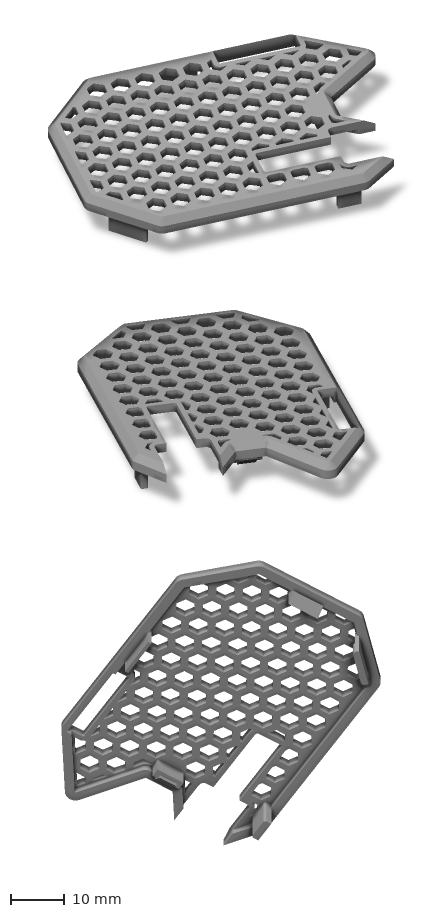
import cadquery as cq
import math


width = 45.0
length = 64.99
half_width = width / 2
total_height = 7.85
cover_height = 3.1
plate_thickness = 1.85
plate_bottom = cover_height - plate_thickness
rim_width = 1.85
top_chamfer = 1.3
corner_radius = 2.0

bevel = 11.2
ear_x = 12.28
ear_half_angle = math.radians(35)
ear_tip_y = length - corner_radius + corner_radius / math.sin(ear_half_angle)
shoulder_y = ear_tip_y - (half_width - ear_x) / math.tan(ear_half_angle)
notch_y = 53.2
notch_half_width = ear_x - (ear_tip_y - notch_y) * math.tan(ear_half_angle)

overshoot = 1.0
web = 1.0
ear_slot_width = 10.9
ear_slot_bottom = 49.05
ear_slot_radius = 1.0
cable_slot_width = 5.8
cable_slot_bottom = 34.0
cable_slot_radius = 0.6
window_left = -half_width + top_chamfer
window_right = -17.4
window_bottom = 35.95
window_top = 52.15
window_radius = 0.3

hex_diameter = 4.0
hex_origin_x = 0.07
hex_pitch_x = 4.37
hex_pitch_y = 4.74
hex_origin_y = 26.12
hex_rows = {
    -4: (-3, 6),
    -3: (-4.5, 7.5),
    -2: (-5, 7),
    -1: (-4.5, 5.5),
    0: (-5, 4),
    1: (-4.5, 5.5),
    2: (-5, 4),
    3: (-4.5, 1.5),
    4: (-3, 5),
}

post_bottom = cover_height - total_height
step_depth = 1.9
hook_depth = 2.75
hook_catch_depth = 0.95
hook_catch = 0.55
hook_thickness = 1.4
bottom_hook_y = 1.6
bottom_hook_width = 6.5
notch_hook_y = notch_y - 1.75
notch_hook_width = 3.6
notch_block_width = 5.8
notch_block_y = (49.2, 50.9)
tab_x = -20.7
tab_thickness = 0.7
tab_y = (24.45, 32.55)
tab_depth = 2.95
ear_post_x = (19.2, 20.7)
ear_post_y = (46.7, 51.25)
ear_post_radius = 0.5
bevel_angle = 45.0
bevel_post_center = (15.35, 7.2)
bevel_post_length = 7.9
bevel_post_thickness = 1.3
bevel_post_radius = 0.65
bevel_recess_length = 2.2
bevel_recess_depth = 0.45


def outline():
    """Mirror-symmetric outline with sharp corners."""
    right_side = [
        (half_width - bevel, 0),
        (half_width, bevel),
        (half_width, shoulder_y),
        (ear_x, ear_tip_y),
        (notch_half_width, notch_y),
    ]
    left_side = [(-x, y) for x, y in reversed(right_side)]
    return cq.Workplane("XY").polyline(right_side + left_side).close()


def box(x_range, y_range, z_range):
    """Box between the given limits."""
    (x0, x1), (y0, y1), (z0, z1) = x_range, y_range, z_range
    return cq.Workplane("XY").box(x1 - x0, y1 - y0, z1 - z0, centered=False).translate((x0, y0, z0))


def solid_cover():
    """Full-height outline, rounded at the outer corners and chamfered around the top."""
    body = outline().extrude(cover_height)
    notch_corners = cq.selectors.BoxSelector(
        (-ear_x / 2, notch_y - overshoot, -overshoot),
        (ear_x / 2, notch_y + overshoot, cover_height + overshoot),
    )
    outer_corners = body.edges("|Z").edges(-notch_corners)
    return outer_corners.fillet(corner_radius).faces(">Z").edges().chamfer(top_chamfer)


def inset_outline(distance, height):
    """Prism of the outline moved inwards."""
    return outline().offset2D(-distance, "arc").extrude(height)


def openings(margin):
    """Ear slot, cable slot and window, grown by a margin on every side."""
    z_range = (-overshoot, cover_height + overshoot)
    ear_half = ear_slot_width / 2 + margin
    ear_slot = box(
        (ear_x - ear_half, ear_x + ear_half),
        (ear_slot_bottom - margin, length + overshoot),
        z_range,
    ).edges("|Z and <Y").fillet(ear_slot_radius + margin)
    cable_half = cable_slot_width / 2 + margin
    cable_slot = box(
        (ear_x - cable_half, ear_x + cable_half),
        (cable_slot_bottom - margin, ear_slot_bottom + overshoot),
        z_range,
    ).edges("|Z and <Y").fillet(cable_slot_radius + margin)
    window = box(
        (window_left - margin, window_right + margin),
        (window_bottom - margin, window_top + margin),
        z_range,
    ).edges("|Z and >X").fillet(window_radius + margin)
    return ear_slot.union(cable_slot).union(window)


def grille():
    """Hexagon prisms trimmed to the area inside the solid borders."""
    centers = []
    for column, (first_row, last_row) in hex_rows.items():
        for step in range(int(last_row - first_row) + 1):
            row = first_row + step
            centers.append((hex_origin_x + column * hex_pitch_x, hex_origin_y + row * hex_pitch_y))
    hexagons = cq.Workplane("XY").pushPoints(centers).polygon(6, hex_diameter).extrude(cover_height)
    area = inset_outline(top_chamfer + web, cover_height).cut(openings(web))
    return hexagons.intersect(area)


def hook(outer_y, direction, hook_width):
    """Snap hook whose catch points along Y in the given direction (+1 or -1)."""
    inner_y = outer_y - direction * hook_thickness
    profile = [
        (inner_y, plate_bottom),
        (inner_y, -hook_depth),
        (outer_y + direction * hook_catch, -hook_catch_depth),
        (outer_y, -hook_catch_depth),
        (outer_y, plate_bottom),
    ]
    return cq.Workplane("YZ").polyline(profile).close().extrude(hook_width / 2, both=True)


def notch_block():
    """Low block around the root of the notch hook."""
    half = notch_block_width / 2
    return box((-half, half), notch_block_y, (-step_depth, plate_bottom))


def side_tab():
    """Thin tab along the left rim."""
    return box((tab_x, tab_x + tab_thickness), tab_y, (-tab_depth, plate_bottom))


def ear_post():
    """Post under the right ear, rounded on its inner side."""
    post = box(ear_post_x, ear_post_y, (post_bottom, plate_bottom))
    return post.edges("|Z and <X").fillet(ear_post_radius)


def bevel_post():
    """Diagonal wall along the right bevel, rounded inside and recessed near the plate at one end."""
    half_length = bevel_post_length / 2
    half_thickness = bevel_post_thickness / 2
    wall = box(
        (-half_length, half_length), (-half_thickness, half_thickness), (post_bottom, plate_bottom)
    ).edges("|Z and >Y").fillet(bevel_post_radius)
    recess = box(
        (-half_length, -half_length + bevel_recess_length),
        (half_thickness - bevel_recess_depth, half_thickness),
        (-step_depth, plate_bottom),
    )
    placed = wall.cut(recess).rotate((0, 0, 0), (0, 0, 1), bevel_angle)
    return placed.translate((*bevel_post_center, 0))


cover = solid_cover().cut(inset_outline(rim_width, plate_bottom))
cover = cover.cut(openings(0)).cut(grille())

result = (
    cover.union(hook(bottom_hook_y, -1, bottom_hook_width))
    .union(hook(notch_hook_y, 1, notch_hook_width))
    .union(notch_block())
    .union(side_tab())
    .union(ear_post())
    .union(bevel_post())
)